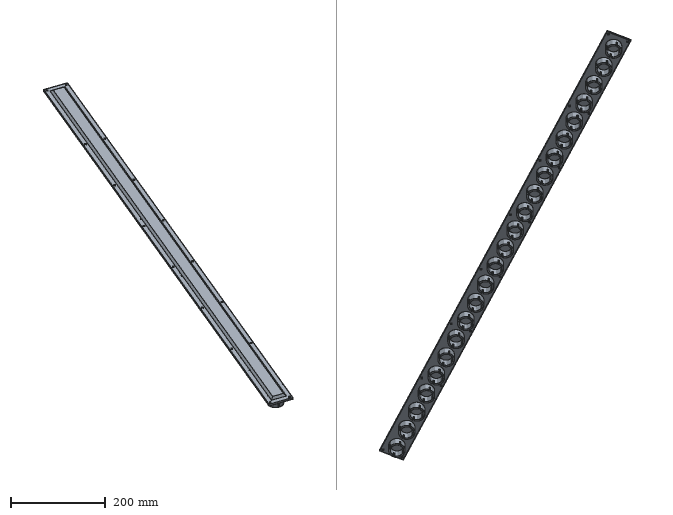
import cadquery as cq

length = 1155.0
plate_width = 55.0
plate_thickness = 5.0

strip_foot_length = 1135.0
strip_foot_width = 35.0
strip_height = 5.0
strip_side_inset = 5.0

cup_count = 23
cup_pitch = 50.0
cup_outer_diameter = 35.0
cup_inner_diameter = 27.5
cup_height = 20.0
notch_width = 3.0
notch_height = 10.0

mount_hole_diameter = 4.0
mount_hole_edge_distance = 5.0
mount_hole_pitch = 150.0
mount_holes_per_side = 6

overall_height = cup_height + plate_thickness + strip_height
cup_rim_z = -overall_height / 2
plate_bottom_z = cup_rim_z + cup_height
plate_top_z = plate_bottom_z + plate_thickness


def centred_row(count, pitch):
    """X positions of evenly spaced features centred on X = 0."""
    return [(i - (count - 1) / 2) * pitch for i in range(count)]


def make_plate():
    return (
        cq.Workplane("XY")
        .workplane(offset=plate_bottom_z)
        .rect(length, plate_width)
        .extrude(plate_thickness)
    )


def make_strip():
    top_length = strip_foot_length - 2 * strip_side_inset
    top_width = strip_foot_width - 2 * strip_side_inset
    return (
        cq.Workplane("XY")
        .workplane(offset=plate_top_z)
        .rect(strip_foot_length, strip_foot_width)
        .workplane(offset=strip_height)
        .rect(top_length, top_width)
        .loft()
    )


def make_cup():
    """One cup on the Z axis, with four notches in its rim facing -X, +X, -Y and +Y."""
    cup = (
        cq.Workplane("XY")
        .workplane(offset=cup_rim_z)
        .circle(cup_outer_diameter / 2)
        .circle(cup_inner_diameter / 2)
        .extrude(cup_height)
    )
    notch = (
        cq.Workplane("XY")
        .workplane(offset=cup_rim_z)
        .rect(notch_width, cup_outer_diameter)
        .extrude(notch_height)
    )
    return cup.cut(notch).cut(notch.rotate((0, 0, 0), (0, 0, 1), 90))


def make_mount_hole_drills():
    """Cylinders for the side rows and the four corner holes."""
    corner_x = length / 2 - mount_hole_edge_distance
    row_y = plate_width / 2 - mount_hole_edge_distance
    row_x = [-corner_x] + centred_row(mount_holes_per_side, mount_hole_pitch) + [corner_x]
    points = [(x, y) for x in row_x for y in (-row_y, row_y)]
    return (
        cq.Workplane("XY")
        .workplane(offset=plate_bottom_z)
        .pushPoints(points)
        .circle(mount_hole_diameter / 2)
        .extrude(plate_thickness)
    )


result = make_plate().cut(make_mount_hole_drills()).union(make_strip())
cup = make_cup()
for cup_x in centred_row(cup_count, cup_pitch):
    result = result.union(cup.translate((cup_x, 0, 0)))